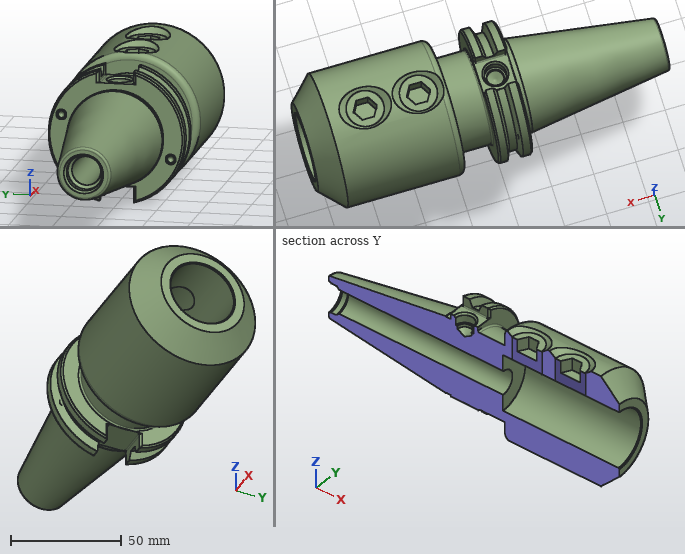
import cadquery as cq
import math

TOTAL_LENGTH = 169.8
OUTER_DIAMETER = 63.5

GAUGE_X = 68.5
GAUGE_DIAMETER = 44.5
TAPER_RATIO = 7 / 24
TAPER_END_FILLET = 1.2
RELIEF_DIAMETER = 44.0

FLANGE_DIAMETER = 63.2
FLANGE_X = 71.2
FLANGE_END_X = 87.3
FLANGE_CHAMFER = 0.8
GROOVE_X = 79.3
GROOVE_DIAMETER = 55.5
GROOVE_FLOOR_WIDTH = 3.7
GROOVE_MOUTH_WIDTH = 7.1

SLOT_WIDTH = 16.1
SLOT_CHAMFER = 1.0
SLOT_FLOOR_FILLET = 0.5
TOP_SLOT_FLOOR_Z = 25.0
BOTTOM_SLOT_FLOOR_Z = -22.8

POCKET_DIAMETER = 10.2
POCKET_RIM_DIAMETER = 12.0
POCKET_DEPTH = 5.1
PILOT_DIAMETER = 8.0
PILOT_DEPTH = 1.7
DRILL_POINT_ANGLE = 118.0

NECK_DIAMETER = 44.5
NECK_FILLET = 0.8
HEAD_X = 102.8
HEAD_FILLET = 3.2
NOSE_CHAMFER = 10.9

PULL_STUD_RIM_DIAMETER = 18.3
PULL_STUD_DIAMETER = 16.5
PULL_STUD_RIM_DEPTH = 1.5
PULL_STUD_DEPTH = 4.6
THROUGH_DIAMETER = 13.5
TOOL_BORE_DIAMETER = 31.8
TOOL_BORE_RIM_DIAMETER = 32.8
TOOL_BORE_DEPTH = 68.0

SCREW_DIAMETER = 17.3
SCREW_XS = (115.8, 141.1)
SCREW_TOP_Z = 29.0
COUNTERSINK_DIAMETER = 24.1
SCREW_HEX_FLATS = 9.7
SCREW_HEX_DEPTH = 6.8

PLUG_DIAMETER = 4.0
PLUG_RIM_DIAMETER = 4.8
PLUG_CIRCLE_RADIUS = 27.0
PLUG_ANGLES = (20.0, 200.0)
PLUG_RECESS = 0.3
PLUG_LENGTH = 5.1
PLUG_SOCKET_DIAMETER = 3.2

OUTER_RADIUS = OUTER_DIAMETER / 2
TAPER_END_DIAMETER = GAUGE_DIAMETER - TAPER_RATIO * GAUGE_X
FLANGE_RADIUS = FLANGE_DIAMETER / 2


def cone(start, direction, start_diameter, end_diameter, height):
    """Truncated (or pointed) cone along a direction."""
    base = cq.Vector(*start)
    axis = cq.Vector(*direction)
    return cq.Workplane(cq.Solid.makeCone(start_diameter / 2, end_diameter / 2, height, base, axis))


def cylinder(start, direction, diameter, height):
    return cq.Workplane(cq.Solid.makeCylinder(diameter / 2, height, cq.Vector(*start), cq.Vector(*direction)))


def x_cylinder(diameter, x_start, x_end):
    return cylinder((x_start, 0, 0), (1, 0, 0), diameter, x_end - x_start)


def hex_prism(plane, flats, depth):
    """Hexagonal prism with one pair of corners on the plane's local X axis."""
    across_corners = flats / math.cos(math.radians(30))
    return cq.Workplane(plane).polygon(6, across_corners).extrude(depth)


def taper():
    cone_body = cone((0, 0, 0), (1, 0, 0), TAPER_END_DIAMETER, GAUGE_DIAMETER, GAUGE_X)
    return cone_body.faces("<X").edges().fillet(TAPER_END_FILLET)


def slot_cutter(floor_z):
    """Drive slot from its floor outwards, with rounded floor corners and flared ends."""
    height = math.copysign(FLANGE_RADIUS - abs(floor_z), floor_z)
    half = SLOT_WIDTH / 2
    flared = half + SLOT_CHAMFER
    floor_plane = cq.Workplane("XY", origin=(0, 0, floor_z))
    floor_side = "<Z" if floor_z > 0 else ">Z"
    channel = (
        floor_plane
        .moveTo((FLANGE_X + FLANGE_END_X) / 2, 0)
        .rect(FLANGE_END_X - FLANGE_X, SLOT_WIDTH)
        .extrude(height)
        .faces(floor_side)
        .edges("|X")
        .fillet(SLOT_FLOOR_FILLET)
    )
    for face_x, inner_x in (
        (FLANGE_X, FLANGE_X + SLOT_CHAMFER),
        (FLANGE_END_X, FLANGE_END_X - SLOT_CHAMFER),
    ):
        flare = floor_plane.polyline([(face_x, flared), (inner_x, half), (inner_x, -half), (face_x, -flared)])
        channel = channel.union(flare.close().extrude(height))
    return channel


def pocket_cutter():
    """Countersunk pocket with a smaller pilot hole ending in a drill point."""
    down = (0, 0, -1)
    rim_depth = (POCKET_RIM_DIAMETER - POCKET_DIAMETER) / 2
    pilot_z = TOP_SLOT_FLOOR_Z - POCKET_DEPTH
    point_z = pilot_z - PILOT_DEPTH
    point_depth = PILOT_DIAMETER / 2 / math.tan(math.radians(DRILL_POINT_ANGLE / 2))
    rim = cone((GROOVE_X, 0, TOP_SLOT_FLOOR_Z), down, POCKET_RIM_DIAMETER, POCKET_DIAMETER, rim_depth)
    pocket = cylinder((GROOVE_X, 0, TOP_SLOT_FLOOR_Z), down, POCKET_DIAMETER, POCKET_DEPTH)
    pilot = cylinder((GROOVE_X, 0, pilot_z), down, PILOT_DIAMETER, PILOT_DEPTH)
    point = cone((GROOVE_X, 0, point_z), down, PILOT_DIAMETER, 0, point_depth)
    return rim.union(pocket).union(pilot).union(point)


def flange():
    """Chamfered disc with a V-groove around it and two drive slots of unequal depth."""
    groove_radius = GROOVE_DIAMETER / 2
    floor_half = GROOVE_FLOOR_WIDTH / 2
    mouth_half = GROOVE_MOUTH_WIDTH / 2
    groove = (
        cq.Workplane("XY")
        .polyline([
            (GROOVE_X - mouth_half, FLANGE_RADIUS),
            (GROOVE_X - floor_half, groove_radius),
            (GROOVE_X + floor_half, groove_radius),
            (GROOVE_X + mouth_half, FLANGE_RADIUS),
        ])
        .close()
        .revolve(360, (0, 0, 0), (1, 0, 0))
    )
    disc = x_cylinder(FLANGE_DIAMETER, FLANGE_X, FLANGE_END_X).edges("%CIRCLE").chamfer(FLANGE_CHAMFER)
    disc = disc.cut(groove)
    for floor_z in (TOP_SLOT_FLOOR_Z, BOTTOM_SLOT_FLOOR_Z):
        disc = disc.cut(slot_cutter(floor_z))
    return disc.cut(pocket_cutter())


def neck():
    """Plain cylinder with a fillet ring in its corner with the flange."""
    neck_radius = NECK_DIAMETER / 2
    fillet_end_x = FLANGE_END_X + NECK_FILLET
    fillet_radius = neck_radius + NECK_FILLET
    arc_offset = NECK_FILLET * (1 - math.sqrt(0.5))
    return (
        cq.Workplane("XY")
        .moveTo(FLANGE_END_X, 0)
        .lineTo(FLANGE_END_X, fillet_radius)
        .threePointArc((FLANGE_END_X + arc_offset, neck_radius + arc_offset), (fillet_end_x, neck_radius))
        .lineTo(HEAD_X, neck_radius)
        .lineTo(HEAD_X, 0)
        .close()
        .revolve(360, (0, 0, 0), (1, 0, 0))
    )


def head():
    cylinder_body = x_cylinder(OUTER_DIAMETER, HEAD_X, TOTAL_LENGTH)
    cylinder_body = cylinder_body.faces("<X").edges().fillet(HEAD_FILLET)
    return cylinder_body.faces(">X").edges().chamfer(NOSE_CHAMFER)


def axial_bores():
    """Pull-stud bore at the small end, through hole, and tool bore at the nose."""
    shoulder_depth = (PULL_STUD_DIAMETER - THROUGH_DIAMETER) / 2
    nose_rim_depth = (TOOL_BORE_RIM_DIAMETER - TOOL_BORE_DIAMETER) / 2
    forward = (1, 0, 0)
    bores = x_cylinder(THROUGH_DIAMETER, 0, TOTAL_LENGTH)
    for part in (
        cone((0, 0, 0), forward, PULL_STUD_RIM_DIAMETER, PULL_STUD_DIAMETER, PULL_STUD_RIM_DEPTH),
        x_cylinder(PULL_STUD_DIAMETER, 0, PULL_STUD_DEPTH),
        cone((PULL_STUD_DEPTH, 0, 0), forward, PULL_STUD_DIAMETER, THROUGH_DIAMETER, shoulder_depth),
        x_cylinder(TOOL_BORE_DIAMETER, TOTAL_LENGTH - TOOL_BORE_DEPTH, TOTAL_LENGTH),
        cone((TOTAL_LENGTH, 0, 0), (-1, 0, 0), TOOL_BORE_RIM_DIAMETER, TOOL_BORE_DIAMETER, nose_rim_depth),
    ):
        bores = bores.union(part)
    return bores


def screw_hole_cutter(x):
    """Radial hole into the tool bore, opening outwards as a countersink above the screw."""
    countersink_height = OUTER_RADIUS - SCREW_TOP_Z
    hole = cylinder((x, 0, 0), (0, 0, 1), SCREW_DIAMETER, SCREW_TOP_Z)
    screw_top = (x, 0, SCREW_TOP_Z)
    countersink = cone(screw_top, (0, 0, 1), SCREW_DIAMETER, COUNTERSINK_DIAMETER, countersink_height)
    return hole.union(countersink)


def plug_position(angle):
    """Point on the flange's back face; the angle runs from +Y towards +Z."""
    turn = math.radians(angle)
    return (FLANGE_X, PLUG_CIRCLE_RADIUS * math.cos(turn), PLUG_CIRCLE_RADIUS * math.sin(turn))


def plug_hole_cutter(angle):
    """Blind hole with a chamfered rim as deep as the plug's recess."""
    position = plug_position(angle)
    inward = (1, 0, 0)
    hole = cylinder(position, inward, PLUG_DIAMETER, PLUG_RECESS + PLUG_LENGTH)
    return hole.union(cone(position, inward, PLUG_RIM_DIAMETER, PLUG_DIAMETER, PLUG_RECESS))


def make_housing():
    body = (
        taper()
        .union(x_cylinder(RELIEF_DIAMETER, GAUGE_X, FLANGE_X))
        .union(flange())
        .union(neck())
        .union(head())
        .cut(axial_bores())
    )
    for x in SCREW_XS:
        body = body.cut(screw_hole_cutter(x))
    for angle in PLUG_ANGLES:
        body = body.cut(plug_hole_cutter(angle))
    return body


def make_clamp_screw(x):
    """Hex-socket screw that ends flush with the tool bore."""
    shank = cylinder((x, 0, 0), (0, 0, 1), SCREW_DIAMETER, SCREW_TOP_Z)
    socket_plane = cq.Plane((x, 0, SCREW_TOP_Z), xDir=(1, 0, 0), normal=(0, 0, -1))
    socket = hex_prism(socket_plane, SCREW_HEX_FLATS, SCREW_HEX_DEPTH)
    return shank.cut(x_cylinder(TOOL_BORE_DIAMETER, 0, TOTAL_LENGTH)).cut(socket)


def make_coolant_plug(angle):
    """Plug with a conical centre recess, set below the flange's back face."""
    face_x, y, z = plug_position(angle)
    plug_front = (face_x + PLUG_RECESS, y, z)
    inward = (1, 0, 0)
    recess = cone(plug_front, inward, PLUG_SOCKET_DIAMETER, 0, PLUG_SOCKET_DIAMETER / 2)
    return cylinder(plug_front, inward, PLUG_DIAMETER, PLUG_LENGTH).cut(recess)


housing = make_housing()
clamp_screws = [make_clamp_screw(x).val() for x in SCREW_XS]
coolant_plugs = [make_coolant_plug(angle).val() for angle in PLUG_ANGLES]

result = cq.Compound.makeCompound([housing.val(), *clamp_screws, *coolant_plugs])